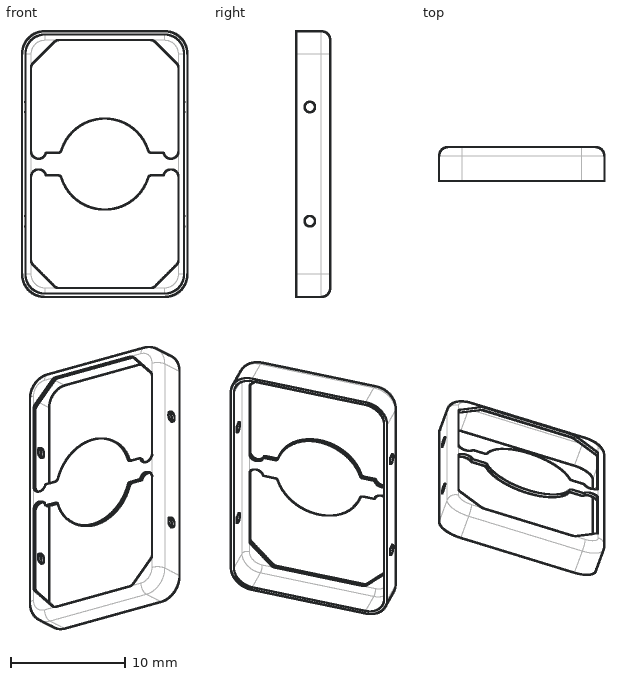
import cadquery as cq
import math

WIDTH = 14.5
DEPTH = 3.0
HEIGHT = 23.3
CORNER_RADIUS = 2.0
WALL = 0.3

RIM_RADIUS = 0.8
OPENING_WIDTH = WIDTH - 2 * RIM_RADIUS
OPENING_HEIGHT = HEIGHT - 2 * RIM_RADIUS

WEB_LEG = 2.2
WEB_FILLET = 0.5

DISC_RADIUS = 4.0
ARM_HEIGHT = 2.0
NECK_HEIGHT = 0.95
NECK_RADIUS = 0.65
NECK_X = OPENING_WIDTH / 2 - NECK_RADIUS
NECK_FILLET = 0.1
DISC_FILLET = 0.25

HOLE_DIAMETER = 0.9
HOLE_SPACING = 10.0
HOLE_FROM_FRONT = 1.2

OVERLAP = 0.2


def plane_at(y):
    """Workplane in XZ at the given Y, extruding toward -Y."""
    return cq.Workplane("XZ", origin=(0, y, 0))


def rounded_block(inset):
    """Frame envelope shrunk by an inset, with its corners and back edge rounded."""
    return (
        plane_at(DEPTH - inset)
        .rect(WIDTH - 2 * inset, HEIGHT - 2 * inset)
        .extrude(DEPTH - inset)
        .edges("|Y")
        .fillet(CORNER_RADIUS - inset)
        .faces(">Y")
        .edges()
        .fillet(RIM_RADIUS - inset)
    )


def frame():
    """Thin shell, open at the front, with the flat of its back cut out."""
    shell = rounded_block(0).cut(rounded_block(WALL))
    opening = (
        plane_at(DEPTH)
        .rect(OPENING_WIDTH, OPENING_HEIGHT)
        .extrude(WALL)
        .edges("|Y")
        .fillet(CORNER_RADIUS - RIM_RADIUS)
    )
    return shell.cut(opening)


def round_edges(body, points, radius):
    """Round the plate edge that runs along Y through each (x, z) point."""
    for x, z in points:
        nearest = cq.selectors.NearestToPointSelector((x, DEPTH - WALL / 2, z))
        body = body.edges("|Y").edges(nearest).fillet(radius)
    return body


def mirrored(x, z):
    """The four points (+-x, +-z)."""
    return [(side_x * x, side_z * z) for side_x in (-1, 1) for side_z in (-1, 1)]


def corner_webs():
    """Triangular webs across all four corners, as a border plate with a cut-cornered window."""
    border = (
        plane_at(DEPTH)
        .rect(OPENING_WIDTH + 2 * OVERLAP, OPENING_HEIGHT + 2 * OVERLAP)
        .extrude(WALL)
    )
    window = (
        plane_at(DEPTH)
        .rect(OPENING_WIDTH, OPENING_HEIGHT)
        .extrude(WALL)
        .edges("|Y")
        .chamfer(WEB_LEG)
        .edges("|Y")
        .fillet(WEB_FILLET)
    )
    return border.cut(window).intersect(rounded_block(0))


def disc_with_arms():
    """Round plate joined to both long sides by arms with a scalloped neck."""
    arm_top = ARM_HEIGHT / 2
    scallop_z = NECK_HEIGHT / 2 + NECK_RADIUS
    arms = plane_at(DEPTH).rect(OPENING_WIDTH + 2 * OVERLAP, ARM_HEIGHT).extrude(WALL)
    scallops = plane_at(DEPTH).pushPoints(mirrored(NECK_X, scallop_z)).circle(NECK_RADIUS).extrude(WALL)
    disc = plane_at(DEPTH).circle(DISC_RADIUS).extrude(WALL)
    body = arms.cut(scallops).union(disc)

    disc_corner_x = math.sqrt(DISC_RADIUS**2 - arm_top**2)
    scallop_corner_x = NECK_X - math.sqrt(NECK_RADIUS**2 - (scallop_z - arm_top) ** 2)
    body = round_edges(body, mirrored(disc_corner_x, arm_top), DISC_FILLET)
    body = round_edges(body, mirrored(scallop_corner_x, arm_top), NECK_FILLET)
    return body.intersect(rounded_block(0))


def cross_holes():
    """Two pins along X that pierce both long side walls."""
    return (
        cq.Workplane("YZ", origin=(-WIDTH / 2, 0, 0))
        .pushPoints([(HOLE_FROM_FRONT, side * HOLE_SPACING / 2) for side in (-1, 1)])
        .circle(HOLE_DIAMETER / 2)
        .extrude(WIDTH)
    )


result = frame().union(corner_webs()).union(disc_with_arms()).cut(cross_holes())